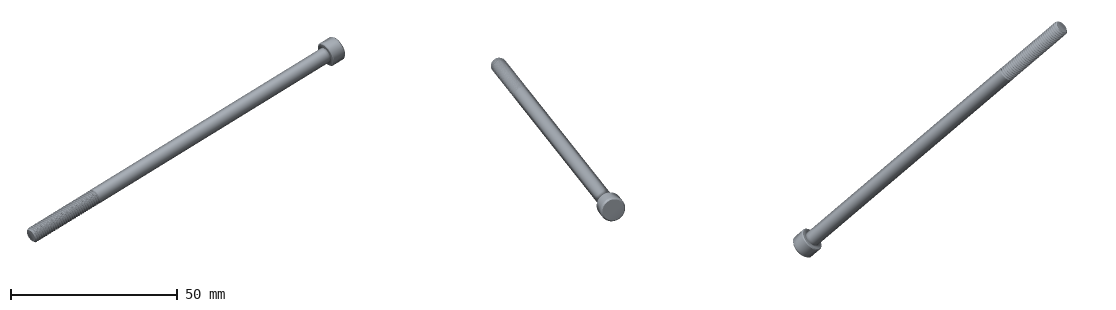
import cadquery as cq

total_length = 119.1
head_diameter = 7.7
head_height = 4.8
head_top_chamfer = 0.5
head_bottom_chamfer = 0.2

shank_diameter = 4.9
thread_length = 25.4
thread_turns = 32
thread_pitch = thread_length / thread_turns
thread_depth = 0.49
crest_flat = thread_pitch / 8
root_flat = thread_pitch / 8
groove_overshoot = 0.05
tip_chamfer = 0.5

shank_radius = shank_diameter / 2
shank_length = total_length - head_height
root_radius = shank_radius - thread_depth


def make_head():
    """Plain cylinder with a bevel around each end, sitting on the shank."""
    base = cq.Workplane("XY").workplane(offset=shank_length)
    head = base.circle(head_diameter / 2).extrude(head_height)
    return head.faces(">Z").chamfer(head_top_chamfer).faces("<Z").chamfer(head_bottom_chamfer)


def make_shank():
    """Full-length rod with its tip at Z = 0."""
    shank = cq.Workplane("XY").circle(shank_radius).extrude(shank_length)
    return shank.faces("<Z").chamfer(tip_chamfer)


def make_thread_groove():
    """Right-hand helical V groove that runs in from one pitch below the tip."""
    start = -thread_pitch
    helix_height = thread_length - thread_pitch / 2 - start
    helix = cq.Wire.makeHelix(thread_pitch, helix_height, root_radius, center=cq.Vector(0, 0, start))

    root_half_width = root_flat / 2
    crest_half_width = (thread_pitch - crest_flat) / 2
    flank_slope = (crest_half_width - root_half_width) / thread_depth
    mouth_half_width = crest_half_width + flank_slope * groove_overshoot
    mouth_radius = shank_radius + groove_overshoot
    profile = cq.Workplane("XZ").polyline([
        (root_radius, start - root_half_width),
        (mouth_radius, start - mouth_half_width),
        (mouth_radius, start + mouth_half_width),
        (root_radius, start + root_half_width),
    ]).close()
    return profile.sweep(cq.Workplane(helix), isFrenet=True)


upright = make_shank().cut(make_thread_groove()).union(make_head())
result = upright.rotate((0, 0, 0), (1, 0, 0), -90).translate((0, -total_length / 2, 0))